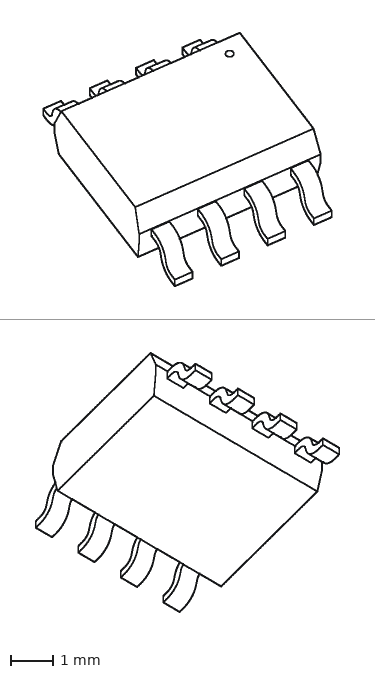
import cadquery as cq
import math


SPAN_X = 6.2
HEIGHT = 1.68
MID_Z = HEIGHT / 2

HOUSING_X = 4.0
HOUSING_Y = 4.98
BELT_HEIGHT = 0.29
TOP_INSET_X = 0.26
BOTTOM_INSET_X = 0.13
INSET_Y = 0.045
BELT_TOP_Z = MID_Z + BELT_HEIGHT / 2
BELT_BOTTOM_Z = MID_Z - BELT_HEIGHT / 2

LEADS_PER_SIDE = 4
LEAD_PITCH = 1.27
LEAD_WIDTH = 0.49
LEAD_THICKNESS = 0.24
SHOULDER_LENGTH = 0.175
INNER_BEND_RADIUS = 0.25
OUTER_BEND_RADIUS = INNER_BEND_RADIUS + LEAD_THICKNESS
BEND_ANGLE = 75.0
FIRST_LEAD_Y = -LEAD_PITCH * (LEADS_PER_SIDE - 1) / 2

MARKER_DIAMETER = 0.2
MARKER_DEPTH = 0.1
MARKER_X = -1.29
MARKER_Y = -FIRST_LEAD_Y


def make_tapered_half(belt_z, end_z, inset_x):
    """Frustum from the belt outline at belt_z to the smaller outline at end_z."""
    return (
        cq.Workplane("XY", origin=(0, 0, belt_z))
        .rect(HOUSING_X, HOUSING_Y)
        .workplane(offset=end_z - belt_z)
        .rect(HOUSING_X - 2 * inset_x, HOUSING_Y - 2 * INSET_Y)
        .loft(ruled=True)
    )


def make_marker():
    """Disc whose upper face is level with the top of the housing."""
    return (
        cq.Workplane("XY", origin=(MARKER_X, MARKER_Y, HEIGHT - MARKER_DEPTH))
        .circle(MARKER_DIAMETER / 2)
        .extrude(MARKER_DEPTH)
    )


def make_housing(marker):
    """Belt and tapered halves in one solid, with a recess for the marker."""
    belt = (
        cq.Workplane("XY", origin=(0, 0, BELT_BOTTOM_Z))
        .rect(HOUSING_X, HOUSING_Y)
        .extrude(BELT_HEIGHT)
    )
    upper_half = make_tapered_half(BELT_TOP_Z, HEIGHT, TOP_INSET_X)
    lower_half = make_tapered_half(BELT_BOTTOM_Z, 0, BOTTOM_INSET_X)
    return belt.union(upper_half).union(lower_half).cut(marker)


def arc_point(center, radius, angle_deg):
    """Point (X, Z) on a circle, with the angle measured from +X towards +Z."""
    angle = math.radians(angle_deg)
    return (center[0] + radius * math.cos(angle), center[1] + radius * math.sin(angle))


def make_lead(y):
    """Gull-wing lead on the -X side, butted against the belt and centred on y."""
    wall_x = -HOUSING_X / 2
    tip_x = -SPAN_X / 2
    shoulder_top_z = MID_Z + LEAD_THICKNESS / 2
    shoulder_bottom_z = MID_Z - LEAD_THICKNESS / 2

    bend = math.radians(BEND_ANGLE)
    radius_sum = INNER_BEND_RADIUS + OUTER_BEND_RADIUS
    drop = shoulder_top_z - LEAD_THICKNESS
    shank_length = (drop - radius_sum * (1 - math.cos(bend))) / math.sin(bend)
    bend_run = radius_sum * math.sin(bend) + shank_length * math.cos(bend)

    upper_center = (wall_x - SHOULDER_LENGTH, shoulder_top_z - OUTER_BEND_RADIUS)
    lower_center = (upper_center[0] - bend_run, OUTER_BEND_RADIUS)

    upper_mid = 90 + BEND_ANGLE / 2
    upper_end = 90 + BEND_ANGLE
    lower_mid = upper_mid - 180
    lower_end = upper_end - 180

    profile = (
        cq.Workplane("XZ", origin=(0, y + LEAD_WIDTH / 2, 0))
        .moveTo(wall_x, shoulder_top_z)
        .lineTo(upper_center[0], shoulder_top_z)
        .threePointArc(
            arc_point(upper_center, OUTER_BEND_RADIUS, upper_mid),
            arc_point(upper_center, OUTER_BEND_RADIUS, upper_end),
        )
        .lineTo(*arc_point(lower_center, INNER_BEND_RADIUS, lower_end))
        .threePointArc(
            arc_point(lower_center, INNER_BEND_RADIUS, lower_mid),
            (lower_center[0], LEAD_THICKNESS),
        )
        .lineTo(tip_x, LEAD_THICKNESS)
        .lineTo(tip_x, 0)
        .lineTo(lower_center[0], 0)
        .threePointArc(
            arc_point(lower_center, OUTER_BEND_RADIUS, lower_mid),
            arc_point(lower_center, OUTER_BEND_RADIUS, lower_end),
        )
        .lineTo(*arc_point(upper_center, INNER_BEND_RADIUS, upper_end))
        .threePointArc(
            arc_point(upper_center, INNER_BEND_RADIUS, upper_mid),
            (upper_center[0], shoulder_bottom_z),
        )
        .lineTo(wall_x, shoulder_bottom_z)
        .close()
    )
    return profile.extrude(LEAD_WIDTH)


marker = make_marker()
housing = make_housing(marker)

leads = []
for index in range(LEADS_PER_SIDE):
    lead = make_lead(FIRST_LEAD_Y + index * LEAD_PITCH)
    leads.append(lead.val())
    leads.append(lead.mirror("YZ").val())

result = cq.Compound.makeCompound([housing.val(), marker.val(), *leads])